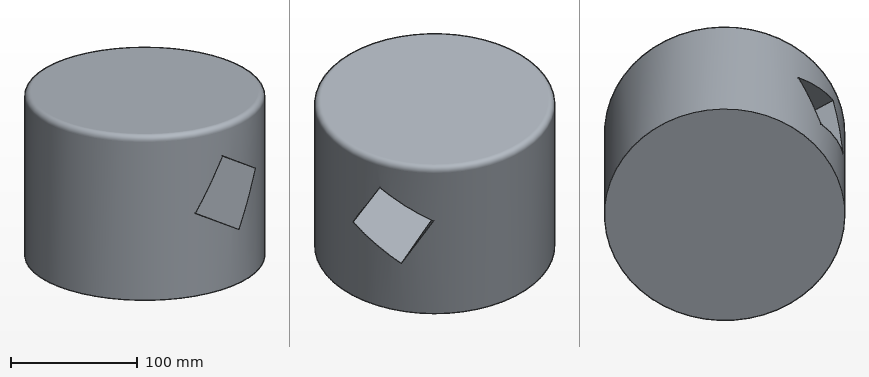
import cadquery as cq

diameter = 190.0
height = 140.0
top_fillet = 5.0
hole_side = 50.0
hole_center_height = 80.0
hole_tilt = -30.0


def make_body():
    """Solid cylinder standing on Z = 0 with a rounded top rim."""
    body = cq.Workplane("XY").circle(diameter / 2).extrude(height)
    return body.faces(">Z").edges().fillet(top_fillet)


def make_square_hole():
    """Tilted square bar running along X through the whole body."""
    bar_length = 1.2 * diameter
    bar = cq.Workplane("XY").box(bar_length, hole_side, hole_side)
    bar = bar.rotate((0, 0, 0), (1, 0, 0), hole_tilt)
    return bar.translate((0, 0, hole_center_height))


result = make_body().cut(make_square_hole())